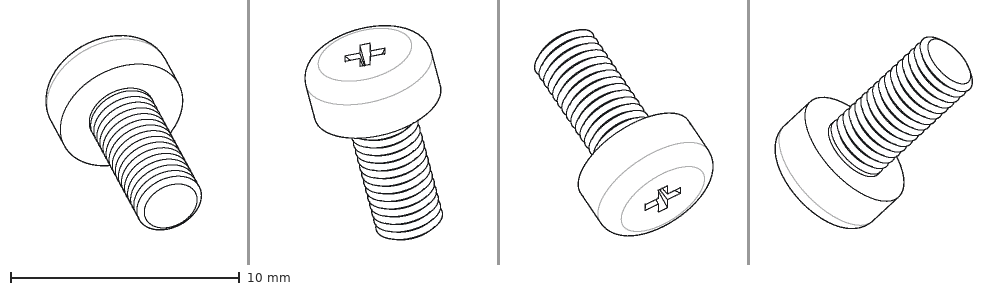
import cadquery as cq

total_length = 8.9
head_length = 2.5
head_radius = 2.85
head_rounding = 0.75

thread_radius = 1.5
root_radius = 1.23
collar_length = 0.19
crest_count = 15

recess_span = 1.8
recess_arm_width = 0.46
recess_floor_width = 0.24
recess_depth = 1.1

thread_start = head_length + collar_length
pitch = (total_length - thread_start) / (crest_count + 0.5)


def make_head():
    """Cylindrical head with a rounded outer end."""
    head = cq.Workplane("YZ").circle(head_radius).extrude(head_length)
    return head.faces("<X").edges().fillet(head_rounding)


def make_threaded_shank():
    """Plain collar followed by a row of V-shaped thread rings."""
    profile = [(head_length, 0), (head_length, thread_radius), (thread_start, thread_radius)]
    for crest in range(1, crest_count + 1):
        crest_x = thread_start + crest * pitch
        profile.append((crest_x - pitch / 2, root_radius))
        profile.append((crest_x, thread_radius))
    profile.append((total_length, root_radius))
    profile.append((total_length, 0))
    return cq.Workplane("XY").polyline(profile).close().revolve(360, (0, 0, 0), (1, 0, 0))


def make_recess_bar(span_y, span_z):
    """One bar of the cross recess, tapering to the small square floor."""
    return (
        cq.Workplane("YZ")
        .rect(span_y, span_z)
        .workplane(offset=recess_depth)
        .rect(recess_floor_width, recess_floor_width)
        .loft(ruled=True)
    )


screw = make_head().union(make_threaded_shank())
horizontal_bar = make_recess_bar(recess_span, recess_arm_width)
vertical_bar = make_recess_bar(recess_arm_width, recess_span)
result = screw.cut(horizontal_bar).cut(vertical_bar)